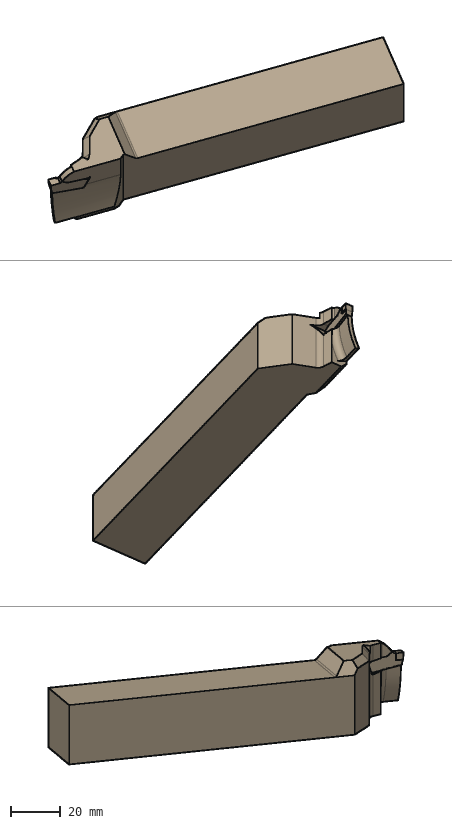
import cadquery as cq
import math

length = 151.0
shank_size = 25.0
head_height = 30.0
head_width = 30.0
head_back = 37.0
ramp_fillet = 1.2

left_corner_y = 29.1
right_corner_y = 31.4
flange_corner_y = 25.8
knee = (10.1, 19.3)
neck = (20.8, 15.4)
neck_fillet = 3.8
head_front = (23.0, 9.8)
edge_chamfer = 2.9

blade_face_x = 26.6
bend_start_z = 19.6
bend_radius = 36.2
bottom_chamfer = 2.5
blade_thickness = 2.0
blade_front_y = 0.6
root_fillet = 2.7
root_overlap = 1.5

finger_left_x = 23.7
finger_root_fillet = 0.6
finger_nose = (4.7, 25.7)
finger_bulge = (7.5, 28.7)

seat_bottom_rear = (13.9, 17.5)
seat_bottom_front = (blade_front_y, bend_start_z)
seat_top_rear = (16.8, 23.1)
insert_top_rear = (16.2, 22.2)
grip_rear = (13.6, 23.3)
grip_front = (7.0, 23.9)
insert_crest = (4.0, 24.9)
tip_length = 3.2
tip_depth = 3.0
tip_flare = 0.5
tip_heel_y = 0.2
seat_open_y = -1.5

head_rise = head_height - shank_size
bend_center_x = blade_face_x + bend_radius
bend_drop = math.sqrt(bend_radius**2 - (bend_center_x - head_width) ** 2)
bend_angle = math.degrees(math.asin(bend_drop / bend_radius))
bend_end_z = bend_start_z - bend_drop

run_angle = math.atan2(neck[1] - knee[1], neck[0] - knee[0])
wall_angle = math.atan2(head_front[1] - neck[1], head_front[0] - neck[0])
half_turn = (run_angle - wall_angle) / 2
neck_setback = neck_fillet * math.tan(half_turn)
neck_start = (
    neck[0] - neck_setback * math.cos(run_angle),
    neck[1] - neck_setback * math.sin(run_angle),
)


def bend_point(angle):
    """(X, Z) on the outer blade face, at an angle below the bend start."""
    turn = math.radians(angle)
    return (bend_center_x - bend_radius * math.cos(turn), bend_start_z - bend_radius * math.sin(turn))


def along_x(points, x_start, x_end):
    """Prism of a (Y, Z) polygon between two X positions."""
    return cq.Workplane("YZ").workplane(offset=x_start).polyline(points).close().extrude(x_end - x_start)


def make_shank():
    return cq.Workplane("XY").box(shank_size, length - head_back, shank_size, centered=False).translate(
        (0, head_back, 0)
    )


def make_plan_prism():
    """Head outline in plan, over the full height, with a rounded neck."""
    outline = [
        (0, head_back),
        (0, left_corner_y),
        knee,
        neck,
        head_front,
        (head_width, head_front[1]),
        (head_width, flange_corner_y),
        (shank_size, right_corner_y),
        (shank_size, head_back),
    ]
    prism = cq.Workplane("XY").polyline(outline).close().extrude(head_height)
    return prism.edges(cq.selectors.NearestToPointSelector((*neck, head_height / 2))).fillet(neck_fillet)


def make_section_prism():
    """Head cross-section along Y: sloped left shoulder and bent right face."""
    section = (
        cq.Workplane("XZ")
        .moveTo(0, 0)
        .lineTo(head_width - bottom_chamfer, 0)
        .lineTo(head_width, bottom_chamfer)
        .lineTo(head_width, bend_end_z)
        .threePointArc(bend_point(bend_angle / 2), (blade_face_x, bend_start_z))
        .lineTo(blade_face_x, head_height)
        .lineTo(head_rise, head_height)
        .lineTo(0, shank_size)
        .close()
    )
    return section.extrude(-head_back)


def make_ramp_cut():
    """45 degree slope from the shank top up to the head top, blended at its foot."""
    ramp_foot = (head_back, shank_size)
    cut = along_x(
        [ramp_foot, (head_back - head_rise, head_height), (head_back, head_height)], 0, head_width
    )
    return cut, ramp_foot


def edge_chamfer_cut(start, end):
    """Wedge removing the top edge above the plan line from start to end."""
    run_x = end[0] - start[0]
    run_y = end[1] - start[1]
    run = math.hypot(run_x, run_y)
    plane = cq.Plane((*start, head_height), xDir=(-run_y / run, run_x / run, 0), normal=(run_x, run_y, 0))
    wedge = [(-edge_chamfer, 0), (edge_chamfer, 0), (0, -edge_chamfer), (-edge_chamfer, -edge_chamfer)]
    return cq.Workplane(plane).polyline(wedge).close().extrude(run)


def neck_chamfer_cut():
    """Conical run-out of the edge chamfer, over the first half of the neck rounding."""
    inward = (-math.sin(run_angle), math.cos(run_angle))
    center = (
        neck_start[0] - neck_fillet * inward[0],
        neck_start[1] - neck_fillet * inward[1],
    )
    plane = cq.Plane((*center, head_height), xDir=(*inward, 0), normal=(inward[1], -inward[0], 0))
    profile = [
        (0, 0),
        (neck_fillet + edge_chamfer, 0),
        (neck_fillet, -edge_chamfer),
        (0, -edge_chamfer),
    ]
    sector = cq.Workplane(plane).polyline(profile).close()
    return sector.revolve(math.degrees(half_turn), (0, 0, 0), (0, -1, 0))


def make_blade():
    """Bent blade below the insert with a concave root, revolved about the bend axis."""
    inner_radius = bend_radius + blade_thickness
    root_radius = inner_radius + root_fillet
    front_y = head_front[1]
    blend_y = front_y - root_fillet
    middle = root_fillet * (1 - math.sqrt(0.5))
    profile = (
        cq.Workplane("XY")
        .workplane(offset=bend_start_z)
        .moveTo(bend_center_x - bend_radius, blade_front_y)
        .lineTo(bend_center_x - inner_radius, blade_front_y)
        .lineTo(bend_center_x - inner_radius, blend_y)
        .threePointArc(
            (bend_center_x - inner_radius - middle, front_y - middle),
            (bend_center_x - root_radius, front_y),
        )
        .lineTo(bend_center_x - root_radius, front_y + root_overlap)
        .lineTo(bend_center_x - bend_radius, front_y + root_overlap)
        .close()
    )
    blade = profile.revolve(bend_angle, (bend_center_x, 0, 0), (bend_center_x, -1, 0))
    root_end_y = front_y + root_overlap
    envelope = cq.Workplane("XY").box(head_width, root_end_y, head_height, centered=False)
    return blade.intersect(envelope.translate((head_front[0], 0, 0)))


def make_finger():
    """Finger over the insert with a rounded nose."""
    front_y = head_front[1]
    side = (
        cq.Workplane("YZ")
        .workplane(offset=finger_left_x)
        .moveTo(front_y, head_height)
        .threePointArc(finger_bulge, finger_nose)
        .lineTo(*grip_front)
        .lineTo(*grip_rear)
        .lineTo(grip_rear[0], head_height)
        .close()
    )
    return side.extrude(blade_face_x - finger_left_x)


def make_seat_cut():
    """Through slot for the insert, open towards the front."""
    return along_x(
        [
            seat_top_rear,
            seat_bottom_rear,
            seat_bottom_front,
            (seat_open_y, seat_bottom_front[1]),
            (seat_open_y, finger_nose[1]),
            finger_nose,
            grip_front,
            grip_rear,
        ],
        0,
        head_width,
    )


def make_holder():
    head = make_plan_prism().intersect(make_section_prism())
    ramp_cut, ramp_foot = make_ramp_cut()
    head = head.cut(ramp_cut)
    for start, end in (((0, left_corner_y), knee), (knee, neck_start)):
        head = head.cut(edge_chamfer_cut(start, end))
    head = head.cut(neck_chamfer_cut()).union(make_finger())
    finger_root_z = (grip_rear[1] + head_height) / 2
    finger_root = cq.selectors.NearestToPointSelector((finger_left_x, head_front[1], finger_root_z))
    head = head.edges("|Z").edges(finger_root).fillet(finger_root_fillet)
    holder = head.union(make_blade()).cut(make_seat_cut())
    holder = holder.union(make_shank())
    foot = cq.selectors.NearestToPointSelector((shank_size / 2, *ramp_foot))
    return holder.edges(foot).fillet(ramp_fillet)


def make_insert():
    """Tilted insert with a slightly wider cutting tip."""
    tip_z = insert_crest[1]
    body = along_x(
        [
            insert_top_rear,
            seat_bottom_rear,
            seat_bottom_front,
            (tip_heel_y, tip_z - tip_depth),
            (0, tip_z),
            insert_crest,
            finger_nose,
            grip_front,
            grip_rear,
        ],
        finger_left_x,
        blade_face_x,
    )
    tip = along_x(
        [(0, tip_z), (tip_length, tip_z), (tip_length, tip_z - tip_depth), (tip_heel_y, tip_z - tip_depth)],
        finger_left_x - tip_flare,
        blade_face_x,
    )
    return body.union(tip)


holder = make_holder()
insert = make_insert()
result = cq.Compound.makeCompound([holder.val(), insert.val()])